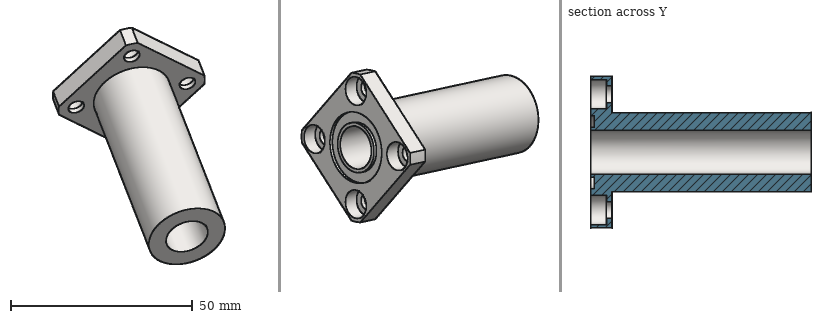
import cadquery as cq
import math

total_length = 61.0
flange_diameter = 41.95
flange_width = 31.95
flange_thickness = 6.0
sleeve_diameter = 21.95
bore_diameter = 12.0

groove_outer_diameter = 20.0
groove_inner_diameter = 14.0
groove_depth = 1.0

bolt_circle_diameter = 31.95
bolt_count = 4
bolt_hole_diameter = 4.5
counterbore_diameter = 8.0
counterbore_depth = 4.4


def cylinder(diameter, length):
    """Cylinder on the X axis, starting at the flange face."""
    return cq.Workplane("YZ").circle(diameter / 2).extrude(length)


def make_flange():
    """Square plate standing on a corner, its corners rounded by a disc."""
    square = (
        cq.Workplane("YZ")
        .rect(flange_width, flange_width)
        .extrude(flange_thickness)
        .rotate((0, 0, 0), (1, 0, 0), 45)
    )
    return square.intersect(cylinder(flange_diameter, flange_thickness))


def make_groove():
    outer = cylinder(groove_outer_diameter, groove_depth)
    return outer.cut(cylinder(groove_inner_diameter, groove_depth))


def make_bolt_hole(angle):
    """Stepped cutter at the given angle in degrees around the bolt circle."""
    radius = bolt_circle_diameter / 2
    y = radius * math.cos(math.radians(angle))
    z = radius * math.sin(math.radians(angle))
    through_hole = cylinder(bolt_hole_diameter, flange_thickness)
    counterbore = cylinder(counterbore_diameter, counterbore_depth)
    return through_hole.union(counterbore).translate((0, y, z))


result = make_flange().union(cylinder(sleeve_diameter, total_length))
result = result.cut(cylinder(bore_diameter, total_length))
result = result.cut(make_groove())
for index in range(bolt_count):
    result = result.cut(make_bolt_hole(index * 360 / bolt_count))